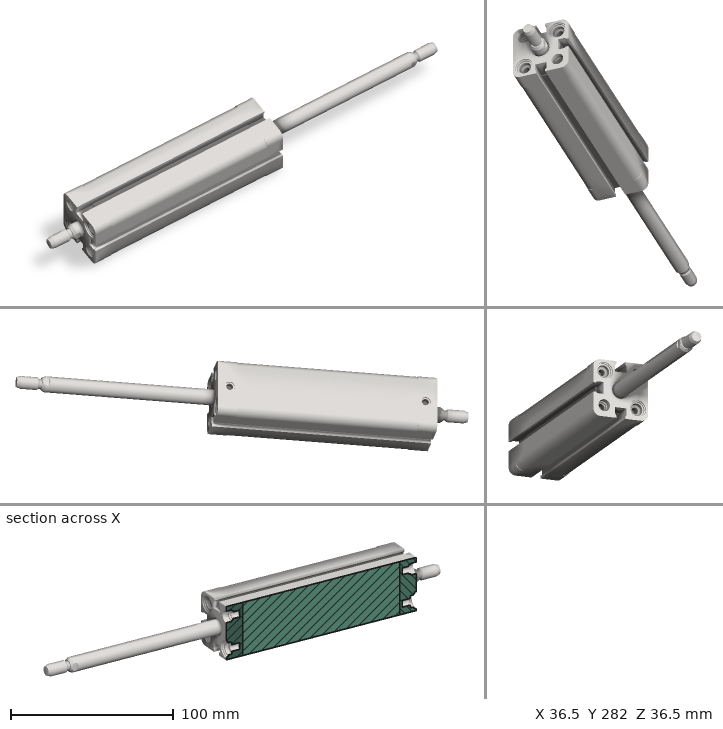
import cadquery as cq


SIDE = 36.5
FRONT_Y = -118.8
REAR_Y = 18.3
COVER_LENGTH = 11.8
COVER_CORNER_RADIUS = 4.5
BARREL_CORNER_RADIUS = 5.5

SLOT_ANGLES = (0, 90, 180)
SLOT_MOUTH_WIDTH = 6.0
SLOT_WIDTH = 7.5
SLOT_LIP = 1.7
SLOT_SHOULDER = 2.5
COVER_SLOT_DEPTH = 6.8
BARREL_SLOT_DEPTH = 6.2

CORNER_HOLE_PITCH = 22.0
PLAIN_HOLE_STEPS = ((7.5, 4.0), (6.0, 5.0), (4.2, 10.0))
SCREW_HOLE_STEPS = ((11.3, 0.8), (10.0, 1.7), (8.0, 4.2), (4.2, 10.0))
ROD_RECESS_STEPS = ((11.8, 0.5), (11.0, 2.3))

PORT_STEPS = ((6.0, 0.8), (4.2, 4.2))
PORT_INSET = 7.3

ROD_LENGTH = 282.0
ROD_DIAMETER = 10.0
TIP_DIAMETER = 6.2
TIP_LENGTH = 2.5
THREAD_DIAMETER = 8.0
THREAD_END = 13.0
THREAD_RUNOUT = 0.8
NECK_DIAMETER = 6.2
NECK_END = 15.5
SHOULDER_DIAMETER = 7.5
SHOULDER_END = 17.5
FLATS_WIDTH = 8.5
FLATS_END = 19.7
FLATS_RUNOUT = 0.5


def cylinder_along(direction, start, diameter, length):
    """Cylinder that starts at a point and runs along a direction."""
    solid = cq.Solid.makeCylinder(diameter / 2, length, cq.Vector(*start), cq.Vector(*direction))
    return cq.Workplane(solid)


def cut_stepped_hole(body, direction, start, steps):
    for diameter, depth in steps:
        body = body.cut(cylinder_along(direction, start, diameter, depth))
    return body


def slot_cutter(y_start, y_end, depth):
    """T-slot profile in the top face, extruded between two Y positions."""
    top = SIDE / 2
    right_edge = [
        (SLOT_MOUTH_WIDTH / 2, top),
        (SLOT_MOUTH_WIDTH / 2, top - SLOT_LIP),
        (SLOT_WIDTH / 2, top - SLOT_SHOULDER),
        (SLOT_WIDTH / 2, top - depth),
    ]
    left_edge = [(-x, z) for x, z in reversed(right_edge)]
    profile = cq.Workplane("XZ", origin=(0, y_end, 0)).polyline(right_edge + left_edge).close()
    return profile.extrude(y_end - y_start)


def slotted_block(y_start, y_end, corner_radius, slot_depth):
    """Rounded square block with T-slots on three faces and the rod's bore through it."""
    length = y_end - y_start
    block = cq.Workplane("XZ", origin=(0, y_end, 0)).rect(SIDE, SIDE).extrude(length)
    block = block.edges("|Y").fillet(corner_radius)
    cutter = slot_cutter(y_start, y_end, slot_depth)
    for angle in SLOT_ANGLES:
        block = block.cut(cutter.rotate((0, 0, 0), (0, 1, 0), angle))
    return block.cut(cylinder_along((0, 1, 0), (0, y_start, 0), ROD_DIAMETER, length))


def make_barrel():
    return slotted_block(
        FRONT_Y + COVER_LENGTH, REAR_Y - COVER_LENGTH, BARREL_CORNER_RADIUS, BARREL_SLOT_DEPTH
    )


def make_front_cover():
    cover = slotted_block(FRONT_Y, FRONT_Y + COVER_LENGTH, COVER_CORNER_RADIUS, COVER_SLOT_DEPTH)
    inward = (0, 1, 0)

    cover = cut_stepped_hole(cover, inward, (0, FRONT_Y, 0), ROD_RECESS_STEPS)

    for offset in (-CORNER_HOLE_PITCH / 2, CORNER_HOLE_PITCH / 2):
        cover = cut_stepped_hole(cover, inward, (offset, FRONT_Y, -offset), PLAIN_HOLE_STEPS)
        cover = cut_stepped_hole(cover, inward, (offset, FRONT_Y, offset), SCREW_HOLE_STEPS)

    port_centre = (-SIDE / 2, FRONT_Y + PORT_INSET, 0)
    return cut_stepped_hole(cover, (1, 0, 0), port_centre, PORT_STEPS)


def flats_cutter():
    """Cutter for the +X spanner flat at the +Y end, with a sloping runout into the rod."""
    flat_x = FLATS_WIDTH / 2
    rod_x = ROD_DIAMETER / 2
    end_y = ROD_LENGTH / 2
    points = [
        (flat_x, end_y),
        (flat_x, end_y - FLATS_END),
        (rod_x, end_y - FLATS_END - FLATS_RUNOUT),
        (rod_x, end_y),
    ]
    return cq.Workplane("XY").polyline(points).close().extrude(ROD_DIAMETER / 2, both=True)


def make_rod():
    end_y = ROD_LENGTH / 2
    rear_half = [
        (0, end_y),
        (TIP_DIAMETER / 2, end_y),
        (THREAD_DIAMETER / 2, end_y - TIP_LENGTH),
        (THREAD_DIAMETER / 2, end_y - THREAD_END),
        (NECK_DIAMETER / 2, end_y - THREAD_END - THREAD_RUNOUT),
        (NECK_DIAMETER / 2, end_y - NECK_END),
        (SHOULDER_DIAMETER / 2, end_y - NECK_END),
        (ROD_DIAMETER / 2, end_y - SHOULDER_END),
    ]
    front_half = [(x, -y) for x, y in reversed(rear_half)]
    profile = cq.Workplane("XY").polyline(rear_half + front_half).close()
    rod = profile.revolve(360, (0, 0, 0), (0, 1, 0))

    rear_right = flats_cutter()
    rear_left = rear_right.mirror("YZ")
    for cutter in (rear_right, rear_left):
        rod = rod.cut(cutter).cut(cutter.mirror("XZ"))
    return rod


barrel = make_barrel()
front_cover = make_front_cover()
rear_cover = front_cover.mirror("XZ", (0, (FRONT_Y + REAR_Y) / 2, 0))
rod = make_rod()

result = cq.Compound.makeCompound([barrel.val(), front_cover.val(), rear_cover.val(), rod.val()])